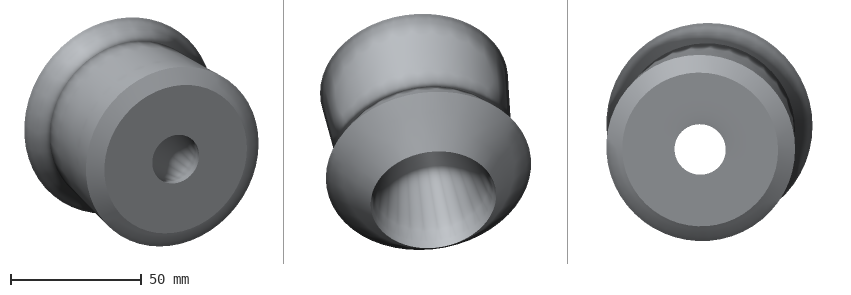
import cadquery as cq

rim_diameter = 48.3
ridge_diameter = 79.0
neck_diameter = 66.9
flange_diameter = 72.3
end_diameter = 59.7
small_bore_diameter = 19.6

ridge_distance = 17.2
neck_distance = 27.5
flange_distance = 67.5
length = 70.6

axis_tilt = 25.9


def revolved(sections):
    """Solid of revolution about X from (distance, diameter) sections."""
    outline = [(distance, diameter / 2) for distance, diameter in sections]
    start, end = sections[0][0], sections[-1][0]
    profile = cq.Workplane("XY").polyline([(start, 0)] + outline + [(end, 0)]).close()
    return profile.revolve(360, (0, 0, 0), (1, 0, 0))


body = revolved([
    (0, rim_diameter),
    (ridge_distance, ridge_diameter),
    (neck_distance, neck_diameter),
    (flange_distance, flange_diameter),
    (length, end_diameter),
])

bore = revolved([
    (0, rim_diameter),
    (length, small_bore_diameter),
])

result = body.cut(bore).rotate((0, 0, 0), (0, 0, 1), -axis_tilt)